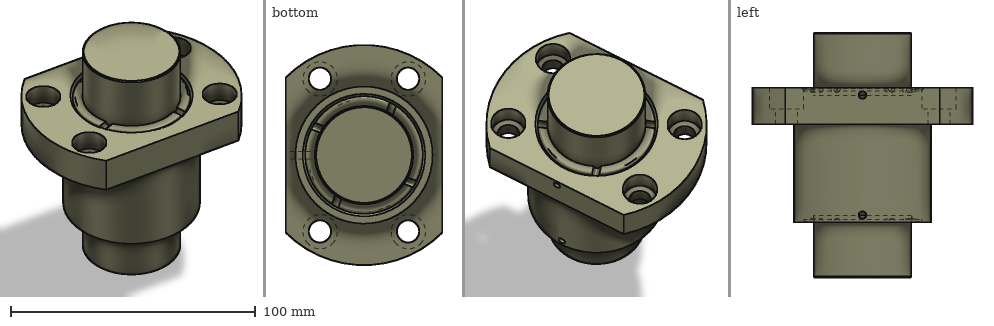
import cadquery as cq
import math

shaft_length = 100
shaft_diameter = 40
shaft_chamfer = 0.5

body_diameter = 56
nut_length = 55
nut_bottom = (shaft_length - nut_length) / 2
nut_top = nut_bottom + nut_length
flange_thickness = 15
flange_diameter = 90
flange_width = 64

bolt_circle_diameter = 72
bolt_angle = 60
bolt_hole_diameter = 9
counterbore_diameter = 14
counterbore_depth = 8.6

recess_diameter = 50
ring_diameter = 48
ring_bore = 40.2
ring_rounding = 1
ring_setback = 0.3
ring_thickness = 2.7
recess_depth = ring_setback + ring_thickness
mouth_depth = ring_setback + ring_rounding

groove_diameter = 3
groove_count = 4
groove_angle = 20
groove_offset = 4

port_diameter = 3


def make_shaft():
    shaft = cq.Workplane("XY").circle(shaft_diameter / 2).extrude(shaft_length)
    return shaft.faces("<Z or >Z").chamfer(shaft_chamfer)


def make_nut():
    body = cq.Workplane("XY", origin=(0, 0, nut_bottom)).circle(body_diameter / 2).extrude(nut_length)
    flange_plane = cq.Workplane("XY", origin=(0, 0, nut_top - flange_thickness))
    flange = flange_plane.circle(flange_diameter / 2).extrude(flange_thickness)
    flats = flange_plane.rect(flange_width, flange_diameter).extrude(flange_thickness)
    return body.union(flange.intersect(flats))


def cut_bolt_holes(nut):
    x = bolt_circle_diameter / 2 * math.cos(math.radians(bolt_angle))
    y = bolt_circle_diameter / 2 * math.sin(math.radians(bolt_angle))
    centres = [(sx * x, sy * y) for sx in (-1, 1) for sy in (-1, 1)]
    return (
        cq.Workplane(nut.val())
        .copyWorkplane(cq.Workplane("XY", origin=(0, 0, nut_top)))
        .pushPoints(centres)
        .cboreHole(bolt_hole_diameter, counterbore_diameter, counterbore_depth)
    )


def make_top_recess():
    """Pocket for the seal ring: a tapered mouth above a straight seat."""
    mouth_bottom = nut_top - mouth_depth
    profile = [
        (0, nut_top),
        (recess_diameter / 2, nut_top),
        (ring_diameter / 2, mouth_bottom),
        (ring_diameter / 2, nut_top - recess_depth),
        (0, nut_top - recess_depth),
    ]
    return cq.Workplane("XZ").polyline(profile).close().revolve(360, (0, 0), (0, 1))


def make_top_ring():
    """Seal ring with a rounded outer edge and grooves running off its rim."""
    ring_face = nut_top - ring_setback
    ring = (
        cq.Workplane("XY", origin=(0, 0, nut_top - recess_depth))
        .circle(ring_diameter / 2)
        .extrude(ring_thickness)
        .faces(">Z")
        .edges()
        .fillet(ring_rounding)
    )
    bore = cq.Workplane("XY", origin=(0, 0, nut_top - recess_depth)).circle(ring_bore / 2).extrude(recess_depth)
    ring = ring.cut(bore)
    groove = (
        cq.Workplane("YZ", origin=(0, groove_offset, ring_face))
        .circle(groove_diameter / 2)
        .extrude(ring_diameter)
    )
    for i in range(groove_count):
        angle = groove_angle + i * 360 / groove_count
        ring = ring.cut(groove.rotate((0, 0, 0), (0, 0, 1), angle))
    return ring


def mirror_to_bottom(top_part):
    return top_part.mirror("XY", (0, 0, shaft_length / 2))


def make_top_port():
    """Blind port from the -X side: its upper half ends at the ring's rim, its lower half at the bore."""
    port_plane = cq.Workplane("YZ", origin=(-flange_width / 2, 0, nut_top - recess_depth))
    depth_to_rim = (flange_width - ring_diameter) / 2
    depth_to_bore = (flange_width - ring_bore) / 2
    port = port_plane.circle(port_diameter / 2).extrude(depth_to_bore)
    ring_side = (
        port_plane.workplane(offset=depth_to_rim)
        .center(0, port_diameter / 2)
        .rect(2 * port_diameter, port_diameter)
        .extrude(depth_to_bore)
    )
    return port.cut(ring_side)


nut = cut_bolt_holes(make_nut())
top_recess = make_top_recess()
nut = nut.cut(top_recess).cut(mirror_to_bottom(top_recess))
nut = nut.union(make_shaft())
top_ring = make_top_ring()
nut = nut.union(top_ring).union(mirror_to_bottom(top_ring))
top_port = make_top_port()
result = nut.cut(top_port).cut(mirror_to_bottom(top_port))